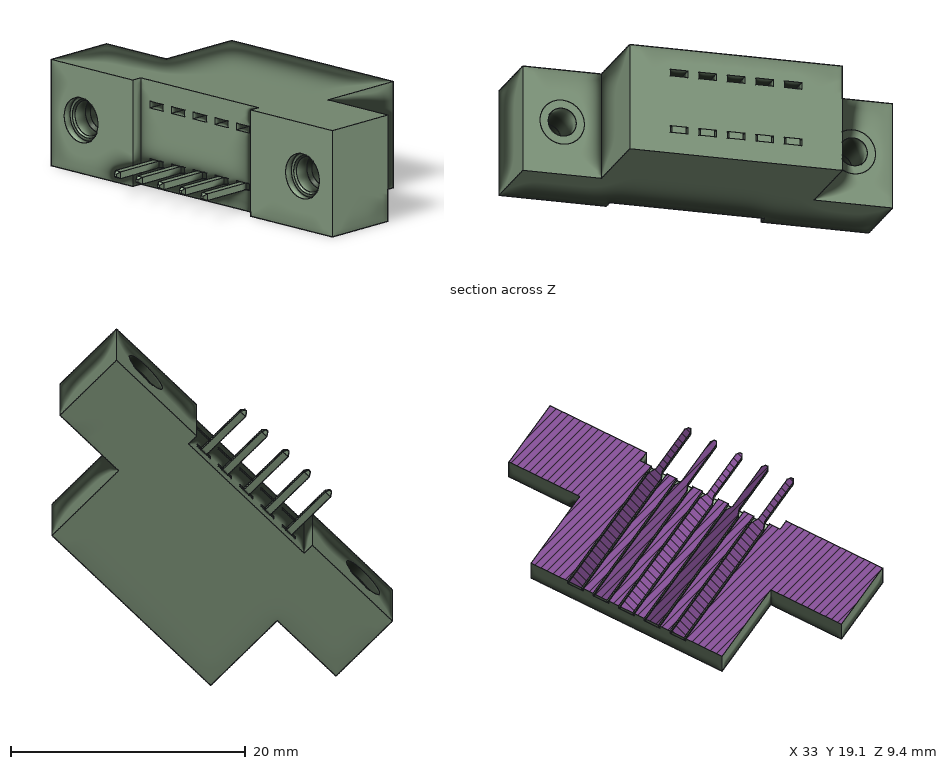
import cadquery as cq

flange_width = 33.02
tongue_width = 19.0
height = 9.4
housing_depth = 14.95
flange_depth = 6.87
recess_width = 13.85
recess_depth = 1.0

contact_count = 5
pitch = 2.55
slot_width = 1.55
slot_height = 0.6
row_offset = pitch

pin_width = 0.63
pin_reach = 5.1
shoulder_width = 1.25
shoulder_length = 0.73
tip_length = 0.33
tip_width = 0.23

insert_spacing = 26.0
insert_radius = 1.98
insert_setback = 0.73
mouth_radius = 1.72
counterbore_radius = 1.55
bore_radius = 1.25
counterbore_end = 2.18

front_y = 0.0
rear_y = front_y + housing_depth
recess_y = front_y + recess_depth
flange_rear_y = front_y + flange_depth
pin_tip_y = recess_y - pin_reach

slot_centres_x = [(i - (contact_count - 1) / 2) * pitch for i in range(contact_count)]
insert_centres_x = [-insert_spacing / 2, insert_spacing / 2]


def bar_along_y(width, tall, start_y, end_y, centre_x=0.0, centre_z=0.0):
    """Rectangular bar centred on the given X and Z, between two Y positions."""
    bar = cq.Workplane("XY").box(width, end_y - start_y, tall, centered=(True, False, True))
    return bar.translate((centre_x, start_y, centre_z))


def make_housing():
    flange = bar_along_y(flange_width, height, front_y, flange_rear_y)
    tongue = bar_along_y(tongue_width, height, flange_rear_y, rear_y)
    body = flange.union(tongue)

    body = body.cut(bar_along_y(recess_width, height, front_y, recess_y))

    for x in slot_centres_x:
        for z in (-row_offset, row_offset):
            body = body.cut(bar_along_y(slot_width, slot_height, recess_y, rear_y, x, z))

    for x in insert_centres_x:
        hole = cq.Workplane("XZ").center(x, 0).circle(insert_radius).extrude(-flange_depth)
        body = body.cut(hole)
    return body


def make_contact(x):
    half_blade = shoulder_width / 2
    half_pin = pin_width / 2
    shoulder_y = recess_y + shoulder_length
    tip_base_y = pin_tip_y + tip_length
    blade_and_pin = (
        cq.Workplane("XY", origin=(0, 0, -slot_height / 2))
        .polyline([
            (-half_blade, rear_y),
            (-half_blade, shoulder_y),
            (-half_pin, recess_y),
            (-half_pin, tip_base_y),
            (half_pin, tip_base_y),
            (half_pin, recess_y),
            (half_blade, shoulder_y),
            (half_blade, rear_y),
        ])
        .close()
        .extrude(slot_height)
    )
    tip = (
        cq.Workplane("XZ", origin=(0, tip_base_y, 0))
        .rect(pin_width, slot_height)
        .workplane(offset=tip_length)
        .rect(tip_width, tip_width)
        .loft(ruled=True)
    )
    return blade_and_pin.union(tip).translate((x, 0, -row_offset))


def make_insert(x):
    mouth_chamfer = mouth_radius - counterbore_radius
    step_chamfer = counterbore_radius - bore_radius
    return (
        cq.Workplane("XY")
        .polyline([
            (insert_radius, insert_setback),
            (mouth_radius, insert_setback),
            (counterbore_radius, insert_setback + mouth_chamfer),
            (counterbore_radius, counterbore_end),
            (bore_radius, counterbore_end + step_chamfer),
            (bore_radius, flange_rear_y),
            (insert_radius, flange_rear_y),
        ])
        .close()
        .revolve(360, (0, 0, 0), (0, 1, 0))
        .translate((x, 0, 0))
    )


housing = make_housing()
contacts = [make_contact(x).val() for x in slot_centres_x]
inserts = [make_insert(x).val() for x in insert_centres_x]

result = cq.Compound.makeCompound([housing.val(), *contacts, *inserts])